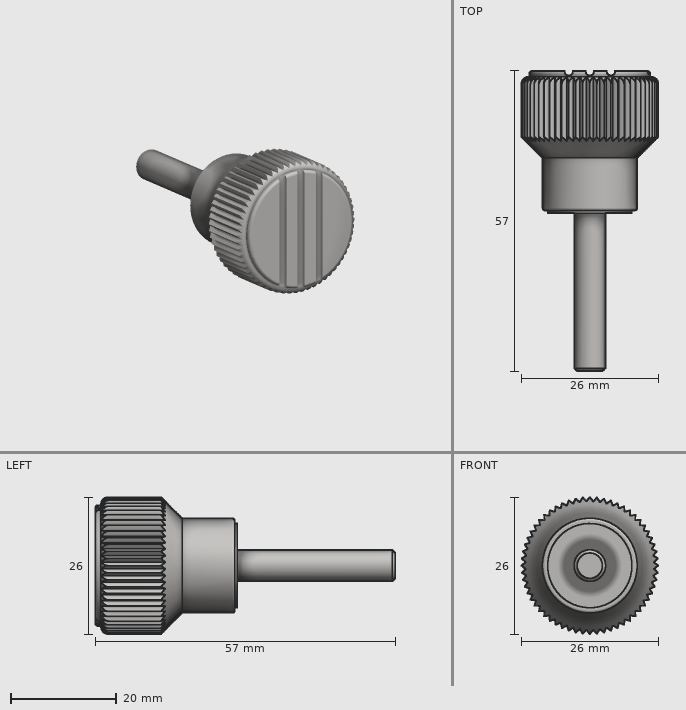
import cadquery as cq
import math


stud_diameter = 6.0
stud_length = 30.0
stud_chamfer = 0.6

collar_diameter = 16.0
collar_length = 0.5
neck_diameter = 18.0
neck_length = 10.0
neck_fillet = 0.5

head_diameter = 26.0
head_length = 15.4
head_fillet = 1.4
tooth_count = 60
tooth_depth = 0.8

cap_diameter = 23.0
cap_length = 1.1
cap_fillet = 0.6
slot_count = 3
slot_pitch = 4.0
slot_width = 1.5
slot_depth = 0.8
slot_corner_radius = 0.6

neck_start = collar_length
cone_start = neck_start + neck_length
cone_length = (head_diameter - neck_diameter) / 2
knurl_start = cone_start + cone_length
head_end = cone_start + head_length
cap_end = head_end + cap_length


def cylinder(diameter, start, length):
    """Cylinder on the Y axis from y = start toward +Y."""
    plane = cq.Workplane("XZ", origin=(0, start, 0))
    return plane.circle(diameter / 2).extrude(-length)


def make_stud():
    stud = cylinder(stud_diameter, -stud_length, stud_length + collar_length)
    return stud.faces("<Y").chamfer(stud_chamfer)


def make_neck():
    neck = cylinder(neck_diameter, neck_start, neck_length)
    return neck.faces("<Y").edges().fillet(neck_fillet)


def make_head_blank():
    """Conical shoulder, plain grip and rounded rear edge."""
    head_radius = head_diameter / 2
    profile = (
        cq.Workplane("XY")
        .moveTo(0, cone_start)
        .lineTo(neck_diameter / 2, cone_start)
        .lineTo(head_radius, knurl_start)
        .lineTo(head_radius, head_end)
        .lineTo(0, head_end)
        .close()
    )
    blank = profile.revolve(360, (0, 0, 0), (0, 1, 0))
    return blank.faces(">Y").edges().fillet(head_fillet)


def make_toothed_prism():
    """Straight prism with pointed teeth, as long as the head."""
    tip_radius = head_diameter / 2
    root_radius = tip_radius - tooth_depth
    half_pitch = math.pi / tooth_count
    points = []
    for index in range(2 * tooth_count):
        radius = tip_radius if index % 2 == 0 else root_radius
        angle = index * half_pitch
        points.append((radius * math.cos(angle), radius * math.sin(angle)))
    plane = cq.Workplane("XZ", origin=(0, cone_start, 0))
    return plane.polyline(points).close().extrude(-head_length)


def make_head():
    return make_head_blank().intersect(make_toothed_prism())


def make_cap():
    """Rear disc with a rounded rim and slots along Z with rounded floor corners."""
    cap = cylinder(cap_diameter, head_end, cap_length)
    cap = cap.faces(">Y").edges().fillet(cap_fillet)
    for index in range(slot_count):
        x = (index - (slot_count - 1) / 2) * slot_pitch
        slot = cq.Workplane("XY").box(slot_width, 2 * slot_depth, cap_diameter)
        slot = slot.edges("|Z").fillet(slot_corner_radius).translate((x, cap_end, 0))
        cap = cap.cut(slot)
    return cap


collar = cylinder(collar_diameter, 0, collar_length)
result = make_stud().union(collar).union(make_neck()).union(make_head()).union(make_cap())